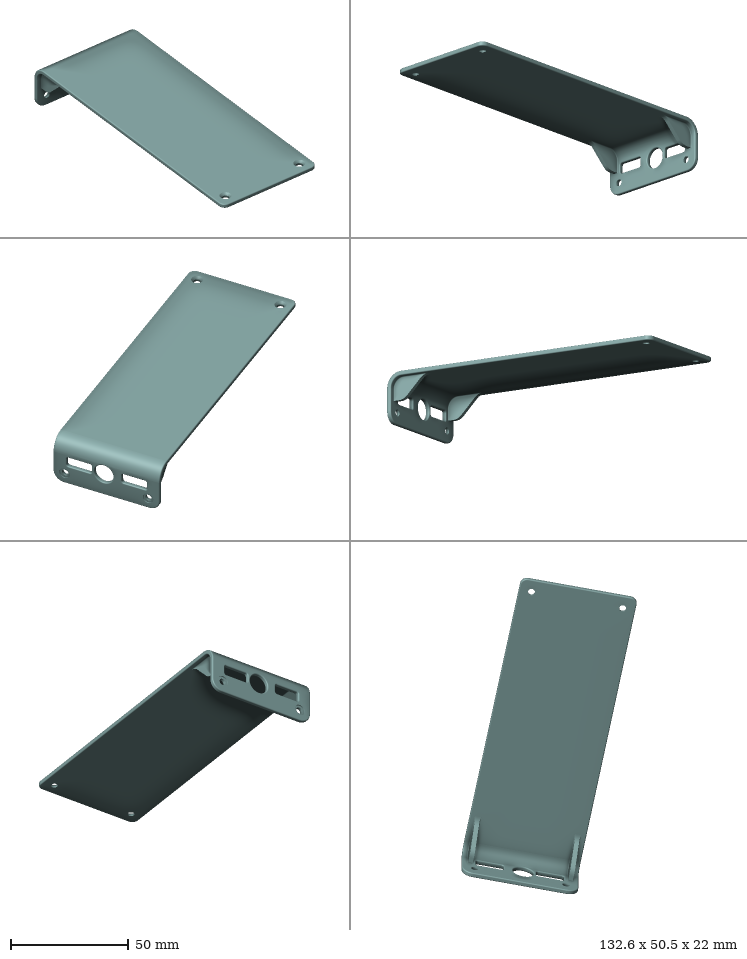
import cadquery as cq
import math

length = 132.6
width = 50.5
height = 22.0
thickness = 2.0

bend_outer_radius = 7.0
bend_inner_radius = bend_outer_radius - thickness
plate_corner_radius = 3.0
leg_corner_radius = 5.0
edge_round = 0.5

screw_diameter = 3.0
counterbore_diameter = 5.0
countersink_diameter = 5.1
countersink_depth = 1.0
counterbore_depth = 0.5
screw_spacing = 39.6
plate_screw_inset = 5.6
leg_screw_inset = 5.1

opening_diameter = 9.0
opening_y = 1.3
opening_z = -11.2
slot_length = 12.0
slot_height = 4.7
slot_corner_radius = 1.0
slot_spacing = 26.2
slot_middle_y = -0.12
slot_z = -10.55

rib_thickness = 2.0
rib_offset = 21.7
rib_depth = 12.2
rib_slope = math.radians(45)
rib_foot_length = 6.9
rib_round_radius = 5.5
rib_joint_fillet = 0.4


def make_bent_sheet():
    """L-shaped sheet with a rounded bend, rounded corners and softened edges."""
    sheet = (
        cq.Workplane("XZ")
        .moveTo(0, -height)
        .lineTo(0, -bend_outer_radius)
        .radiusArc((bend_outer_radius, 0), bend_outer_radius)
        .lineTo(length, 0)
        .lineTo(length, -thickness)
        .lineTo(bend_outer_radius, -thickness)
        .radiusArc((thickness, -bend_outer_radius), -bend_inner_radius)
        .lineTo(thickness, -height)
        .close()
        .extrude(width / 2, both=True)
    )
    sheet = sheet.faces(">X").edges("|Z").fillet(plate_corner_radius)
    sheet = sheet.faces("<Z").edges("|X").fillet(leg_corner_radius)
    rim_start_edges = sheet.faces("<X").edges("<Z").add(sheet.faces("<Z").edges(">X"))
    return rim_start_edges.fillet(edge_round)


def make_rib(middle_y):
    """Gusset joining the plate and the leg, with a 45 degree sloping free edge."""
    slope_end = rib_foot_length + rib_depth - thickness
    tangent = rib_round_radius * math.tan(rib_slope / 2)
    rise = tangent * math.sin(rib_slope)
    run = tangent * math.cos(rib_slope)
    return (
        cq.Workplane("XZ", origin=(0, middle_y, 0))
        .moveTo(thickness, -rib_depth)
        .lineTo(rib_foot_length - tangent, -rib_depth)
        .radiusArc((rib_foot_length + run, -rib_depth + rise), -rib_round_radius)
        .lineTo(slope_end - run, -thickness - rise)
        .radiusArc((slope_end + tangent, -thickness), rib_round_radius)
        .lineTo(bend_outer_radius, -thickness)
        .radiusArc((thickness, -bend_outer_radius), -bend_inner_radius)
        .close()
        .extrude(rib_thickness / 2, both=True)
    )


def drill_screw_holes(sheet):
    """Two countersunk holes at the plate's end and two counterbored holes in the leg."""
    plate_holes = (
        cq.Workplane("XY", origin=(length - plate_screw_inset, 0, 0))
        .pushPoints([(0, -screw_spacing / 2), (0, screw_spacing / 2)])
    )
    plate_cutter = plate_holes.circle(screw_diameter / 2).extrude(-thickness)
    for y in (-screw_spacing / 2, screw_spacing / 2):
        countersink = cq.Solid.makeCone(
            countersink_diameter / 2,
            screw_diameter / 2,
            countersink_depth,
            pnt=cq.Vector(length - plate_screw_inset, y, 0),
            dir=cq.Vector(0, 0, -1),
        )
        plate_cutter = plate_cutter.union(cq.Workplane(obj=countersink))

    leg_holes = (
        cq.Workplane("YZ", origin=(0, 0, leg_screw_inset - height))
        .pushPoints([(-screw_spacing / 2, 0), (screw_spacing / 2, 0)])
    )
    leg_cutter = leg_holes.circle(screw_diameter / 2).extrude(thickness)
    leg_cutter = leg_cutter.union(leg_holes.circle(counterbore_diameter / 2).extrude(counterbore_depth))
    return sheet.cut(plate_cutter).cut(leg_cutter)


def cut_leg_openings(sheet):
    """Round opening and two slots in the leg, with rounded rims on both faces."""
    opening = (
        cq.Workplane("YZ", origin=(0, opening_y, opening_z))
        .circle(opening_diameter / 2)
        .extrude(2 * thickness)
    )
    slots = (
        cq.Workplane("YZ", origin=(0, slot_middle_y, slot_z))
        .pushPoints([(-slot_spacing / 2, 0), (slot_spacing / 2, 0)])
        .rect(slot_length, slot_height)
        .extrude(thickness)
        .edges("|X")
        .fillet(slot_corner_radius)
    )
    sheet = sheet.cut(opening).cut(slots)
    rim_zone_half_width = (slot_spacing + slot_length) / 2 + edge_round
    rim_zone = cq.selectors.BoxSelector(
        (-edge_round, -rim_zone_half_width, opening_z - opening_diameter / 2),
        (thickness + edge_round, rim_zone_half_width, opening_z + opening_diameter / 2),
    )
    return sheet.edges(rim_zone).edges("not |X").fillet(edge_round)


def add_ribs(sheet):
    """One rib near each long edge, its flanks blended into the sheet by small fillets."""
    body = sheet
    for middle_y in (-rib_offset, rib_offset):
        body = body.union(make_rib(middle_y))
    for middle_y in (-rib_offset, rib_offset):
        for flank_y in (middle_y - rib_thickness / 2, middle_y + rib_thickness / 2):
            flank = body.faces(
                cq.selectors.NearestToPointSelector((bend_outer_radius, flank_y, -bend_outer_radius))
            )
            joint = flank.edges(
                cq.selectors.BoxSelector(
                    (0, -width, -bend_outer_radius),
                    (bend_outer_radius, width, 0),
                )
            )
            body = joint.fillet(rib_joint_fillet)
    return body


sheet = make_bent_sheet()
sheet = cut_leg_openings(sheet)
sheet = drill_screw_holes(sheet)
result = add_ribs(sheet)